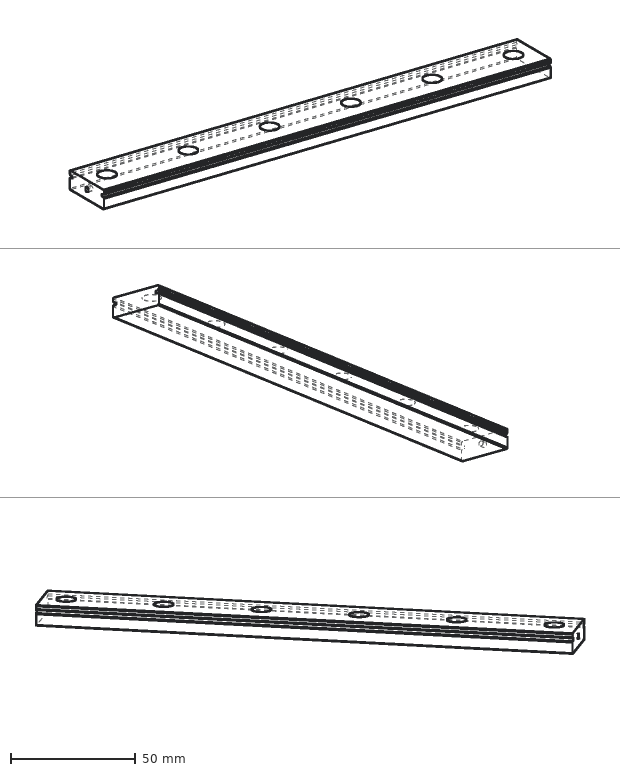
import cadquery as cq

width = 24.0
length = 220.0
height = 8.5
half_width = width / 2

edge_chamfer = 0.5
groove_depth = 1.8
groove_bottom = 5.3
groove_top = 6.4
groove_radius = (groove_top - groove_bottom) / 2
groove_centre = (groove_top + groove_bottom) / 2
lip_bottom = 7.0
lip_slope_width = 0.7
groove_edge_chamfer = 0.5

cap_count = 6
cap_pitch = 40.0
cap_diameter = 8.0
cap_recess = 0.1

end_hole_diameter = 2.2
end_hole_height = 4.5
end_hole_depth = 2.2


def make_rail():
    """Extrude a plain bar with chamfered long edges along Y, centred on the origin."""
    bar = cq.Workplane("XY").box(width, length, height, centered=(True, True, False))
    return bar.edges("|Y").chamfer(edge_chamfer)


def make_side_groove():
    """Round-bottomed groove in the +X side, flared above and below at its mouth."""
    round_start = half_width - groove_depth + groove_radius
    profile = (
        cq.Workplane("XZ")
        .moveTo(half_width, groove_bottom - groove_edge_chamfer)
        .lineTo(half_width - groove_edge_chamfer, groove_bottom)
        .lineTo(round_start, groove_bottom)
        .threePointArc((half_width - groove_depth, groove_centre), (round_start, groove_top))
        .lineTo(half_width - lip_slope_width, groove_top)
        .lineTo(half_width, lip_bottom)
        .close()
    )
    return profile.extrude(length / 2, both=True)


def make_cap_recesses():
    """Shallow round recesses in one centred row on the top face."""
    return (
        cq.Workplane("XY", origin=(0, 0, height - cap_recess))
        .rarray(2.2, cap_pitch, 1, cap_count)
        .circle(cap_diameter / 2)
        .extrude(cap_recess)
    )


def make_end_hole():
    """Blind hole running in +Y from the -Y end face."""
    return (
        cq.Workplane("XZ", origin=(0, -length / 2, end_hole_height))
        .circle(end_hole_diameter / 2)
        .extrude(-end_hole_depth)
    )


right_groove = make_side_groove()
left_groove = right_groove.mirror("YZ")

result = (
    make_rail()
    .cut(right_groove)
    .cut(left_groove)
    .cut(make_cap_recesses())
    .cut(make_end_hole())
)